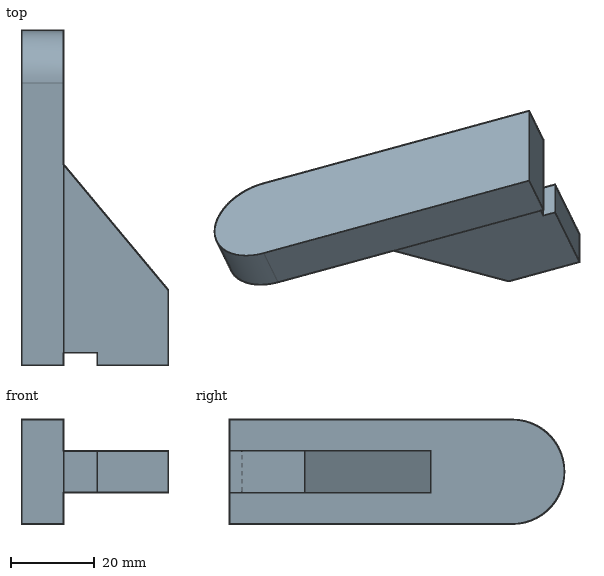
import cadquery as cq

plate_thickness = 10.0
plate_length = 80.0
plate_height = 25.0
end_radius = plate_height / 2

web_thickness = 10.0
web_reach = 25.0
web_root_length = 48.0
web_tip_length = 18.0

notch_width = 8.0
notch_depth = 3.0


def make_plate():
    """Flat plate along Y, square at Y = 0 and fully rounded at the far end."""
    straight_length = plate_length - end_radius
    return (
        cq.Workplane("YZ")
        .moveTo(0, -end_radius)
        .lineTo(straight_length, -end_radius)
        .threePointArc((plate_length, 0), (straight_length, end_radius))
        .lineTo(0, end_radius)
        .close()
        .extrude(plate_thickness)
    )


def make_web():
    """Tapered web with a notch where its square end meets the plate."""
    root_x = plate_thickness
    notch_x = root_x + notch_width
    tip_x = root_x + web_reach
    return (
        cq.Workplane("XY")
        .workplane(offset=-web_thickness / 2)
        .moveTo(root_x, notch_depth)
        .lineTo(notch_x, notch_depth)
        .lineTo(notch_x, 0)
        .lineTo(tip_x, 0)
        .lineTo(tip_x, web_tip_length)
        .lineTo(root_x, web_root_length)
        .close()
        .extrude(web_thickness)
    )


result = make_plate().union(make_web())